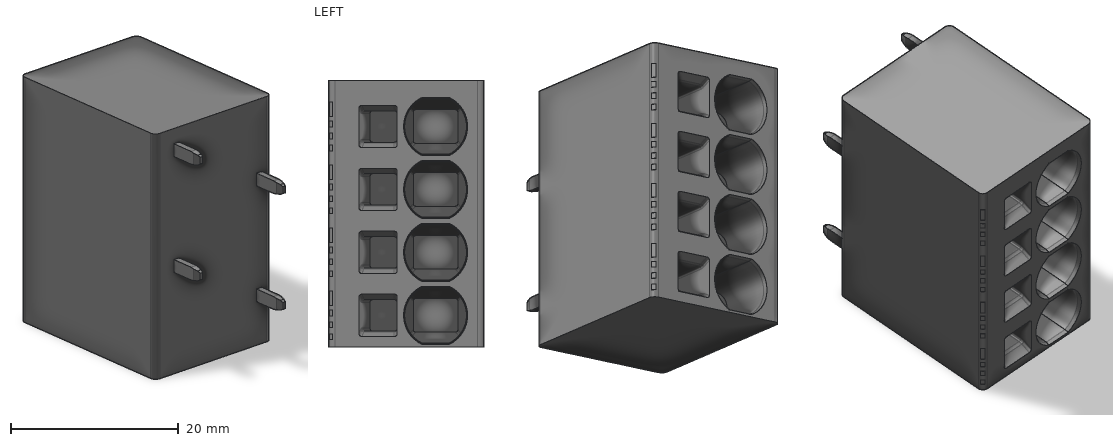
import cadquery as cq
import math

body_depth = 24.23
body_width = 18.5
body_height = 31.8
edge_radius = 0.75

pole_count = 4
pole_pitch = 7.5
first_opening_drop = 5.5
first_pin_drop = 2.8

entry_y = 5.75
entry_radius = 3.7
entry_half_height = 3.35
entry_bore_depth = 7.63
mouth_flare = 0.13
mouth_depth = 0.5
funnel_end_width = 5.3
funnel_end_height = 4.0
funnel_corner_radius = 0.3
funnel_depth = 2.55
funnel_spread = 1.27

release_near_y = 10.35
release_mouth_width = 4.55
release_mouth_height = 5.05
release_throat_height = 3.95
release_throat_depth = 1.27
release_shaft_height = 3.75
release_shaft_start = 1.75
release_depth = 7.95
release_end_width = 3.25
release_corner_radius = 0.35

pin_rows_y = (3.4, 16.55)
pin_length = 4.5
pin_half_thickness = 0.4
pin_half_height = 0.83
pin_shoulder_length = 3.12
pin_neck_length = 4.15
pin_neck_half_height = 0.65
pin_tip_half_height = 0.45
pin_thinning_length = 3.6
pin_tip_half_thickness = 0.2
pin_embed = 0.32

flat_leg = 0.5
flat_spans = ((2.6, 1.72), (4.85, 0.7), (6.25, 0.7), (7.7, 0.7))


def section(x, y, z):
    """Sketch plane facing +X: local x runs along Y and local y along Z."""
    return cq.Workplane("YZ", origin=(x, y, z))


def flattened_circle(radius, half_height, x, z):
    """Circle cut off flat above and below its centre."""
    half_flat = math.sqrt(radius**2 - half_height**2)
    return (
        section(x, entry_y, z)
        .moveTo(-half_flat, -half_height)
        .lineTo(half_flat, -half_height)
        .threePointArc((radius, 0), (half_flat, half_height))
        .lineTo(-half_flat, half_height)
        .threePointArc((-radius, 0), (-half_flat, -half_height))
        .close()
    )


def rounded_rectangle(x, y, z, width, height, radius):
    """Closed wire with rounded corners, centred on (y, z) at depth x."""
    outline = section(x, y, z).rect(width, height).val()
    return outline.fillet2D(radius, outline.Vertices())


def conductor_entry(z):
    """Flared mouth, straight bore and a funnel narrowing to a rectangular floor."""

    def bore_outline(x):
        return flattened_circle(entry_radius, entry_half_height, x, z)

    def funnel_outline(x, spread):
        width = funnel_end_width + 2 * spread
        height = funnel_end_height + 2 * spread
        return rounded_rectangle(x, entry_y, z, width, height, funnel_corner_radius)

    mouth_outline = flattened_circle(entry_radius + mouth_flare, entry_half_height + mouth_flare, 0, z)
    mouth = cq.Solid.makeLoft([mouth_outline.val(), bore_outline(mouth_depth).val()], True)
    bore = bore_outline(mouth_depth).extrude(entry_bore_depth - mouth_depth)

    funnel_start = funnel_outline(entry_bore_depth, funnel_spread)
    funnel_end = funnel_outline(entry_bore_depth + funnel_depth, 0)
    funnel = cq.Workplane(cq.Solid.makeLoft([funnel_start, funnel_end], True))
    trimmed_funnel = funnel.intersect(bore_outline(entry_bore_depth).extrude(funnel_depth))
    return bore.union(cq.Workplane(mouth)).union(trimmed_funnel)


def release_opening(z):
    """The -Y wall is straight; the +Y wall is one slanted plane."""

    def outline(x, height):
        narrowing = (release_mouth_width - release_end_width) * x / release_depth
        width = release_mouth_width - narrowing
        return rounded_rectangle(x, release_near_y + width / 2, z, width, height, release_corner_radius)

    sections = [
        outline(0, release_mouth_height),
        outline(release_throat_depth, release_throat_height),
        outline(release_shaft_start, release_shaft_height),
        outline(release_depth, release_shaft_height),
    ]
    return cq.Workplane(cq.Solid.makeLoft(sections, True))


def symmetric_profile(plane, origin, stations):
    """Closed outline mirrored about the pin axis from (distance, half size) pairs."""
    lower = [(distance, -half) for distance, half in reversed(stations)]
    return cq.Workplane(plane, origin=origin).polyline(list(stations) + lower).close()


def solder_pin(y, z):
    """Flat pin narrowing in both height and thickness; its root is sunk into the housing."""
    side_stations = (
        (-pin_embed, pin_half_height),
        (pin_shoulder_length, pin_half_height),
        (pin_neck_length, pin_neck_half_height),
        (pin_length, pin_tip_half_height),
    )
    plan_stations = (
        (-pin_embed, pin_half_thickness),
        (pin_thinning_length, pin_half_thickness),
        (pin_length, pin_tip_half_thickness),
    )
    base = (body_depth, y, z)
    side = symmetric_profile("XZ", base, side_stations).extrude(pin_half_thickness, both=True)
    plan = symmetric_profile("XY", base, plan_stations).extrude(pin_half_height, both=True)
    return side.intersect(plan)


def edge_flat(top_z, length):
    """Triangular prism that trims the vertical edge down to a flat."""
    corner = (0, body_width, top_z - length)
    return (
        cq.Workplane("XY", origin=corner)
        .polyline([(0, 0), (flat_leg, 0), (0, -flat_leg)])
        .close()
        .extrude(length)
    )


housing = cq.Workplane("XY").box(body_depth, body_width, body_height, centered=False)
result = housing.edges("|Z").fillet(edge_radius)

for pole in range(pole_count):
    pole_top = body_height - pole * pole_pitch
    opening_z = pole_top - first_opening_drop
    result = result.cut(conductor_entry(opening_z))
    result = result.cut(release_opening(opening_z))
    for drop, length in flat_spans:
        result = result.cut(edge_flat(pole_top - drop, length))
    result = result.union(solder_pin(pin_rows_y[pole % 2], pole_top - first_pin_drop))